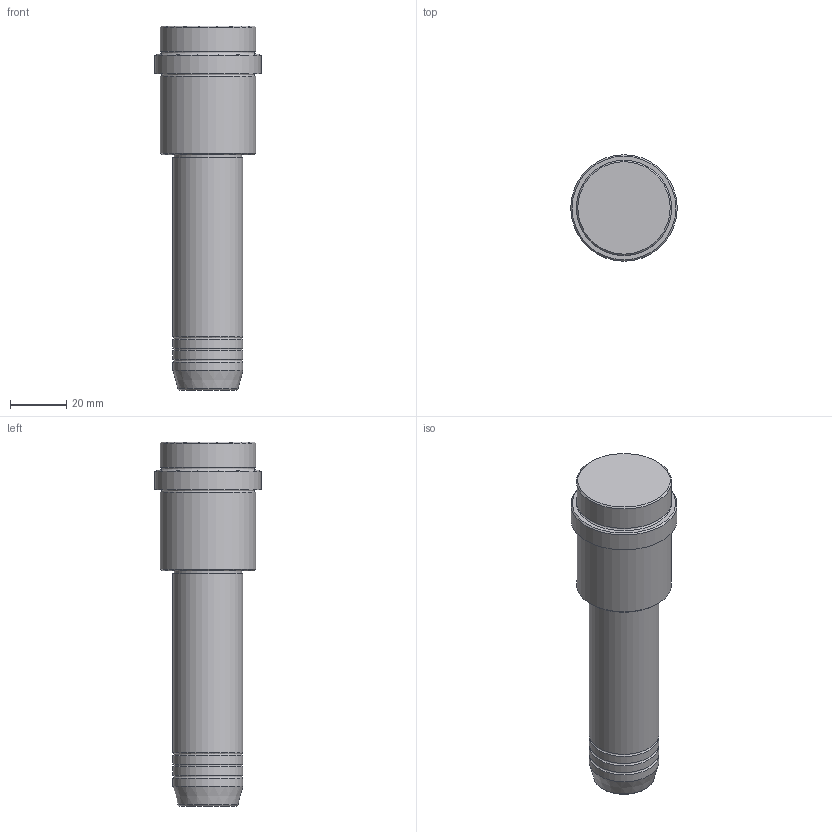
import cadquery as cq
import math

total_height = 130.0
edge_chamfer = 0.5
groove_radius = 0.5

body_radius = 17.0
body_length = 46.0
flange_radius = 19.0
flange_thickness = 7.0
flange_top_depth = 10.0

shank_radius = 12.5
neck_radius = 12.0
neck_length = 1.0

shank_groove_count = 3
shank_groove_pitch = 4.0
first_shank_groove_z = 10.5

tip_length = 7.0
tip_angle = 15.0
tip_fillet = 0.5

body_bottom = total_height - body_length
flange_top = total_height - flange_top_depth
flange_bottom = flange_top - flange_thickness
neck_bottom = body_bottom - neck_length
tip_radius = shank_radius - tip_length * math.tan(math.radians(tip_angle))


def cylinder(radius, bottom, top):
    """Solid cylinder on the Z axis between two heights."""
    return cq.Workplane("XY").workplane(offset=bottom).circle(radius).extrude(top - bottom)


def revolve_about_z(profile):
    """Full revolution about Z of a closed outline drawn as (radius, height)."""
    return profile.revolve(360, (0, 0, 0), (0, 1, 0))


def groove_ring(surface_radius, center_z):
    """Round-section ring to cut from a cylinder to leave a half-round groove."""
    return revolve_about_z(cq.Workplane("XZ").moveTo(surface_radius, center_z).circle(groove_radius))


def make_body():
    """Head body, chamfered at both ends, with a groove on each side of the flange."""
    body = cylinder(body_radius, body_bottom, total_height).edges().chamfer(edge_chamfer)
    for groove_z in (flange_top + groove_radius, flange_bottom - groove_radius):
        body = body.cut(groove_ring(body_radius, groove_z))
    return body


def make_flange():
    """Flange with a chamfered upper rim."""
    return cylinder(flange_radius, flange_bottom, flange_top).faces(">Z").edges().chamfer(edge_chamfer)


def make_shank():
    """Shank with a rounded conical tip, grooves and a relieved neck."""
    profile = cq.Workplane("XZ").polyline([
        (0, 0),
        (tip_radius, 0),
        (shank_radius, tip_length),
        (shank_radius, neck_bottom),
        (neck_radius, neck_bottom),
        (neck_radius, body_bottom),
        (0, body_bottom),
    ]).close()
    shank = revolve_about_z(profile).faces("<Z").edges().fillet(tip_fillet)
    for index in range(shank_groove_count):
        groove_z = first_shank_groove_z + index * shank_groove_pitch
        shank = shank.cut(groove_ring(shank_radius, groove_z))
    return shank


result = make_body().union(make_flange()).union(make_shank())